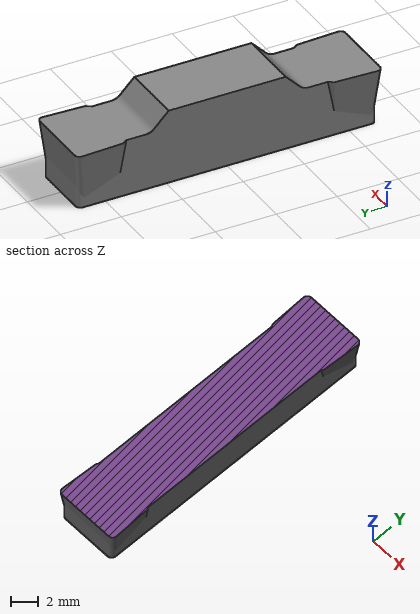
import cadquery as cq
import math

total_length = 25.07
total_height = 6.14
head_width = 6.05

shank_width = 5.2
shank_length = 24.47
corner_radius = 0.4

rake_height = 4.67
block_top_length = 9.6
ramp_fillet_radius = 1.0

draft_angle = 6.0
side_taper_angle = 2.5
neck_distance = 3.85
shoulder_end_distance = 4.28
neck_radius = 0.2


def make_shank():
    """Bar with a stepped side profile and rounded vertical end edges."""
    half_length = shank_length / 2
    half_top = block_top_length / 2
    ramp_foot = half_top + total_height - rake_height
    profile = [
        (-half_length, 0),
        (half_length, 0),
        (half_length, rake_height),
        (ramp_foot, rake_height),
        (half_top, total_height),
        (-half_top, total_height),
        (-ramp_foot, rake_height),
        (-half_length, rake_height),
    ]
    shank = cq.Workplane("YZ").polyline(profile).close().extrude(shank_width / 2, both=True)
    shank = shank.edges("|Z").fillet(corner_radius)
    for side in (-1, 1):
        foot = cq.selectors.NearestToPointSelector((0, side * ramp_foot, rake_height))
        shank = shank.edges("|X").edges(foot).fillet(ramp_fillet_radius)
    return shank


def make_head():
    """Head at the +Y end: wide at the rake face, drafted inwards going down."""
    edge_y = total_length / 2
    neck_y = edge_y - neck_distance
    shoulder_y = edge_y - shoulder_end_distance
    taper = math.tan(math.radians(side_taper_angle))

    round_overhang = corner_radius * (1 / math.cos(math.radians(side_taper_angle)) - 1 + taper)
    corner_x = head_width / 2 + round_overhang
    neck_x = corner_x - neck_distance * taper

    shoulder_x = shank_width / 2
    root_x = shoulder_x / 2
    shoulder_slope = (neck_y - shoulder_y) / (neck_x - shoulder_x)
    root_y = shoulder_y - (shoulder_x - root_x) * shoulder_slope

    right_side = [(root_x, root_y), (neck_x, neck_y), (corner_x, edge_y)]
    left_side = [(-x, y) for x, y in reversed(right_side)]
    head = (
        cq.Workplane("XY", origin=(0, 0, rake_height))
        .polyline(right_side + left_side)
        .close()
        .extrude(-rake_height, taper=draft_angle)
    )
    mid_height = rake_height / 2
    for side in (-1, 1):
        corner = cq.selectors.NearestToPointSelector((side * corner_x, edge_y, mid_height))
        head = head.edges(corner).fillet(corner_radius)
        neck = cq.selectors.NearestToPointSelector((side * neck_x, neck_y, mid_height))
        head = head.edges(neck).fillet(neck_radius)
    return head


head = make_head()
result = make_shank().union(head).union(head.mirror("XZ"))